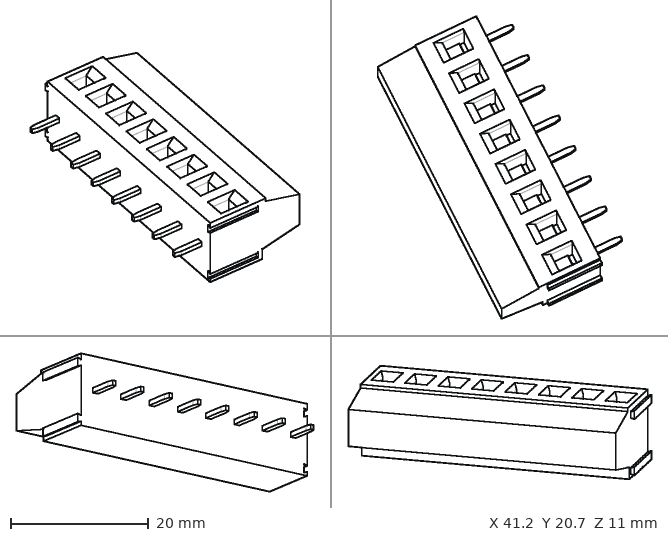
import cadquery as cq


total_length = 41.25
rail_depth = 0.58
housing_length = total_length - rail_depth
housing_height = 11.0
housing_depth = 16.0
pole_count = 8
pitch = housing_length / pole_count

top_face_depth = 9.95
bottom_face_depth = 9.3
top_step = 0.55
bottom_step = 1.8
back_face_bottom = 3.35
back_face_top = 8.95

rail_length = 8.6
rail_outer_width = 1.28
rail_neck_width = 0.9
rail_heights = (1.07, 9.6)

opening_width = 3.35
opening_front = 2.55
opening_back = 7.4
well_width = 2.8
well_back = 6.1
funnel_depth = 1.0
well_floor_height = 4.95
trench_back = 3.3
trench_depth = 0.82

pin_length = 4.7
pin_width = 0.9
pin_thickness = 0.75
pin_height = 5.75
pin_tip_width = 0.55
pin_tip_length = 1.0


def make_housing():
    profile = [
        (0, 0),
        (bottom_face_depth, 0),
        (bottom_face_depth, bottom_step),
        (housing_depth, back_face_bottom),
        (housing_depth, back_face_top),
        (top_face_depth, housing_height - top_step),
        (top_face_depth, housing_height),
        (0, housing_height),
    ]
    return cq.Workplane("YZ").polyline(profile).close().extrude(housing_length)


def make_dovetail(end_x, height):
    """Bar along Y, narrow at end_x and widening towards -X."""
    section = [
        (end_x, height - rail_neck_width / 2),
        (end_x - rail_depth, height - rail_outer_width / 2),
        (end_x - rail_depth, height + rail_outer_width / 2),
        (end_x, height + rail_neck_width / 2),
    ]
    return cq.Workplane("XZ").polyline(section).close().extrude(-rail_length)


def make_box(center_x, width, front, back, bottom, top):
    return (
        cq.Workplane("XY", origin=(center_x, (front + back) / 2, bottom))
        .rect(width, back - front)
        .extrude(top - bottom)
    )


def make_wire_opening(center_x):
    well_top = housing_height - funnel_depth
    trench_floor = well_floor_height - trench_depth
    funnel = (
        cq.Workplane("XY", origin=(center_x, 0, well_top))
        .center(0, (opening_front + well_back) / 2)
        .rect(well_width, well_back - opening_front)
        .workplane(offset=funnel_depth)
        .center(0, (opening_back - well_back) / 2)
        .rect(opening_width, opening_back - opening_front)
        .loft(ruled=True)
    )
    well = make_box(center_x, well_width, opening_front, well_back, well_floor_height, well_top)
    trench = make_box(center_x, well_width, opening_front, trench_back, trench_floor, well_floor_height)
    return funnel.union(well).union(trench)


def make_pin(center_x):
    taper_start = pin_tip_length - pin_length
    outline = [
        (-pin_width / 2, 0),
        (-pin_width / 2, taper_start),
        (-pin_tip_width / 2, -pin_length),
        (pin_tip_width / 2, -pin_length),
        (pin_width / 2, taper_start),
        (pin_width / 2, 0),
    ]
    return (
        cq.Workplane("XY", origin=(center_x, 0, pin_height - pin_thickness / 2))
        .polyline(outline)
        .close()
        .extrude(pin_thickness)
    )


result = make_housing()

for rail_height in rail_heights:
    result = result.union(make_dovetail(0, rail_height))
    result = result.cut(make_dovetail(housing_length, rail_height))

for pole in range(pole_count):
    pole_x = (pole + 0.5) * pitch
    result = result.cut(make_wire_opening(pole_x))
    result = result.union(make_pin(pole_x))